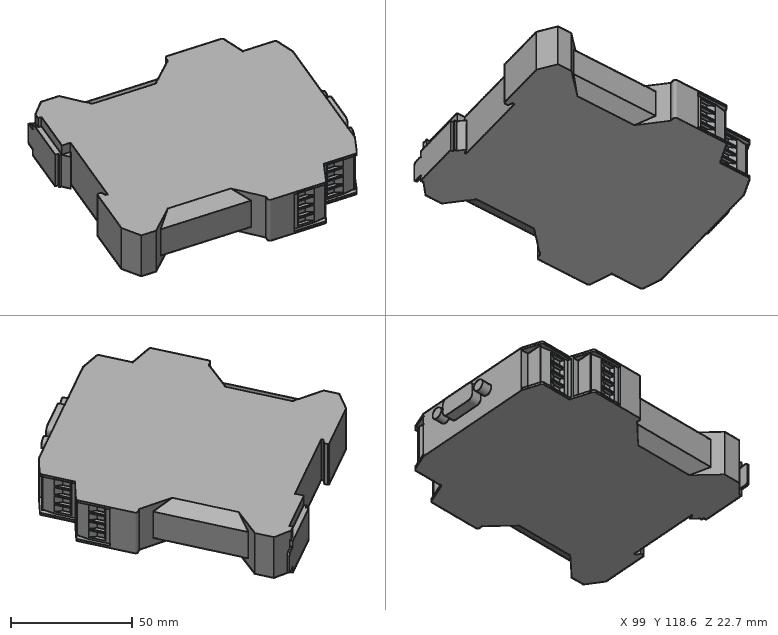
import cadquery as cq
import math

thickness = 22.7
width = 99.0
half_width = width / 2
upper_half_width = 38.8
lid_half_width = 29.6
lid_y = 113.7
roof_angle = 20.5
roof_slope = math.tan(math.radians(roof_angle))
tier_pitch = 18.4
shoulder_drop = 19.2
tier_bottom_y = 64.6
tier_bottom_half_width = 46.8
waist_half_width = 36.0
waist_bottom_y = 25.0
foot_half_width = 46.4
corner_radius = 1.2

clip_foot_corner_y = 6.4
clip_foot_toe = (-40.3, 1.0)
clip_ledge_x = -37.7
fixed_foot_corner_y = 8.0
fixed_foot_toe_x = 38.7
foot_y = 2.5
rail_y = 6.4
rail_left_x = -18.1
rail_right_x = 17.3
rail_lip_x = 15.3
rail_lip_y = 4.5
rail_lip_root_y = 5.5
rail_lip_chamfer = 0.5

clip_height = 17.5
clip_left_x = -40.8
clip_right_x = -19.3
clip_left_y = 1.5
clip_step_y = 1.3
hook_base_y = 2.3
hook_tip = (-15.2, 5.2)
hook_root = (-17.3, 5.8)
tab_end_x = -45.3
tab_thickness = 1.0
tab_z = (3.2, 14.4)
tab_radius = 1.2

bar_half_width = 42.3
bar_y = (18.5, 60.2)
bar_edge = 4.0

wall = 1.2
block_top_y = 110.1
block_length = 15.2
lip_depth = 1.8
lip_drop = 0.4
ramp_start = (2.1, 0.8)
ramp_end = (1.3, 5.6)
clearance = 4.2
recess_depth = upper_half_width - lid_half_width

cell_count = 4
cell_pitch = 4.7
cell_width = 3.8
cell_depth = 2.8
cell_ramp_drop = 8.8
cell_flat_drop = 12.0
cell_end_drop = 13.0

connector_top_y = 118.6
connector_z = 12.5
shell_center_x = 3.8
shell_length = 17.8
shell_height = 9.1
shell_radius = 2.5
post_spacing = 25.0
post_diameter = 5.3


def prism(points, z_start, z_end):
    """Extrude a closed XY outline between two Z levels."""
    return cq.Workplane("XY").workplane(offset=z_start).polyline(points).close().extrude(z_end - z_start)


def make_housing():
    upper_corner_y = lid_y - recess_depth * roof_slope
    lower_corner_y = upper_corner_y - shoulder_drop
    notch_y = lower_corner_y + (half_width - upper_half_width) * roof_slope
    waist_top_y = tier_bottom_y - (tier_bottom_half_width - waist_half_width)
    foot_top_y = waist_bottom_y - (foot_half_width - waist_half_width)
    right_side = [
        (foot_half_width, foot_top_y),
        (waist_half_width, waist_bottom_y),
        (waist_half_width, waist_top_y),
        (tier_bottom_half_width, tier_bottom_y),
        (half_width, tier_bottom_y),
        (half_width, lower_corner_y),
        (upper_half_width, notch_y),
        (upper_half_width, upper_corner_y),
        (lid_half_width, lid_y),
    ]
    left_side = [(-x, y) for x, y in reversed(right_side)]
    foot = [
        (-foot_half_width, clip_foot_corner_y),
        clip_foot_toe,
        (clip_ledge_x, clip_foot_toe[1]),
        (clip_ledge_x, foot_y),
        (rail_left_x, foot_y),
        (rail_left_x, rail_y),
        (rail_right_x, rail_y),
        (rail_right_x, rail_lip_root_y),
        (rail_lip_x, rail_lip_y),
        (rail_lip_x, foot_y + rail_lip_chamfer),
        (rail_lip_x + rail_lip_chamfer, foot_y),
        (fixed_foot_toe_x, foot_y),
        (foot_half_width, fixed_foot_corner_y),
    ]
    body = prism(right_side + left_side + foot, 0, thickness)
    rounded = [
        (side * x, y)
        for side in (-1, 1)
        for x, y in (
            (half_width, tier_bottom_y),
            (half_width, lower_corner_y),
            (upper_half_width, upper_corner_y),
        )
    ]
    for x, y in rounded:
        corner = cq.selectors.NearestToPointSelector((x, y, thickness / 2))
        body = body.edges("|Z").edges(corner).fillet(corner_radius)
    return body


def make_side_bars():
    section = [
        (-waist_half_width, 0),
        (waist_half_width, 0),
        (bar_half_width, bar_edge),
        (bar_half_width, thickness - bar_edge),
        (waist_half_width, thickness),
        (-waist_half_width, thickness),
        (-bar_half_width, thickness - bar_edge),
        (-bar_half_width, bar_edge),
    ]
    start_y, end_y = bar_y
    return cq.Workplane("XZ", origin=(0, start_y, 0)).polyline(section).close().extrude(start_y - end_y)


def make_terminal_cut(face_half_width, top_y):
    """Material removed around one -X terminal block, including its wire cells."""

    def place(profile):
        return [(depth - face_half_width, top_y - drop) for depth, drop in profile]

    pocket = place([
        (recess_depth, -clearance),
        (recess_depth, 0),
        (lip_depth, 0),
        (lip_depth, lip_drop),
        (ramp_start[0], lip_drop),
        ramp_start,
        ramp_end,
        (ramp_end[0], block_length),
        (-clearance, block_length),
        (-clearance, -clearance),
    ])
    cell = place([
        ramp_end,
        (cell_depth, cell_ramp_drop),
        (cell_depth, cell_flat_drop),
        (ramp_end[0], cell_end_drop),
    ])
    cut = prism(pocket, wall, thickness - wall)
    for index in range(cell_count):
        center_z = thickness / 2 + (index - (cell_count - 1) / 2) * cell_pitch
        cut = cut.union(prism(cell, center_z - cell_width / 2, center_z + cell_width / 2))
    return cut


def make_clip():
    outline = [
        (clip_left_x, 0),
        (clip_right_x, 0),
        (clip_right_x, clip_step_y),
        (rail_left_x, clip_step_y),
        (rail_left_x, hook_base_y),
        hook_tip,
        hook_root,
        (hook_root[0], rail_y),
        (clip_ledge_x, rail_y),
        (clip_left_x, clip_left_y),
    ]
    tab = (
        cq.Workplane("XY")
        .box(clip_ledge_x - tab_end_x, tab_thickness, tab_z[1] - tab_z[0], centered=False)
        .edges("|Y and <X")
        .fillet(tab_radius)
        .translate((tab_end_x, 0, tab_z[0]))
    )
    return prism(outline, 0, clip_height).union(tab)


def make_connector():
    height = connector_top_y - lid_y
    lid = cq.Workplane("XZ", origin=(shell_center_x, lid_y, connector_z))
    shell = lid.rect(shell_length, shell_height).extrude(-height).edges("|Y").fillet(shell_radius)
    posts = lid.pushPoints([(-post_spacing / 2, 0), (post_spacing / 2, 0)]).circle(post_diameter / 2)
    return shell.union(posts.extrude(-height))


result = make_housing().union(make_side_bars())
for face_half_width, top_y in (
    (upper_half_width, block_top_y),
    (half_width, block_top_y - tier_pitch),
):
    terminal_cut = make_terminal_cut(face_half_width, top_y)
    result = result.cut(terminal_cut).cut(terminal_cut.mirror("YZ"))
result = result.union(make_clip()).union(make_connector())